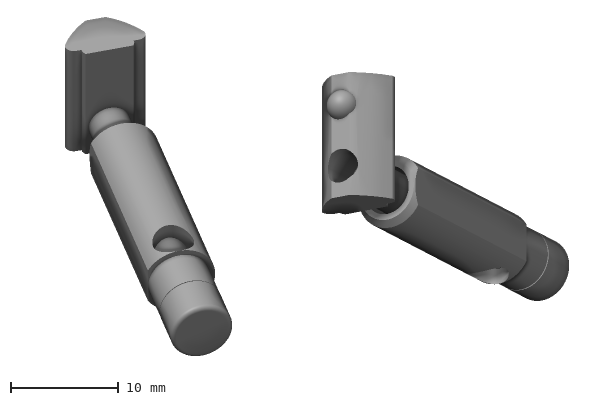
import cadquery as cq
import math

OVERALL_LENGTH = 37.38
HEAD_FRONT_X = 1.05
HEAD_REAR_X = 5.75
SLEEVE_FRONT_X = 9.42
SLEEVE_BODY_LENGTH = 19.95
TAIL_LENGTH = 3.9
SCREW_HEAD_GAP = 0.1
SLEEVE_SHOULDER_X = SLEEVE_FRONT_X + SLEEVE_BODY_LENGTH
TAIL_END_X = SLEEVE_SHOULDER_X + TAIL_LENGTH
SCREW_HEAD_X = TAIL_END_X + SCREW_HEAD_GAP

SHANK_DIAMETER = 4.0
SCREW_HEAD_DIAMETER = 5.95
SCREW_HEAD_FILLET = 0.45

SLEEVE_DIAMETER = 7.0
SLEEVE_FLAT_OFFSET = 3.0
SLEEVE_CHAMFER = 0.6
TAIL_DIAMETER = 5.9
MOUTH_DIAMETER = 4.67
MOUTH_DEPTH = 7.48
CROSS_HOLE_DIAMETER = 3.9
CROSS_HOLE_X = SLEEVE_SHOULDER_X - CROSS_HOLE_DIAMETER / 2

HEAD_HEIGHT = 12.0
HEAD_TOP_Z = 8.97
HEAD_HALF_WIDTH = 3.85
NOSE_HALF_WIDTH = 0.97
FLANK_MID = (2.45, 2.65)
LOBE_RADIUS = 0.82
LOBE_REAR_X = 5.1
LOBE_START_ANGLE = math.radians(105)
LOBE_MID_ANGLE = math.radians(50)
STEP_HALF_WIDTH = 2.5
STEP_EDGE_X = 5.35
STEP_BEVEL = 0.2
HEAD_HOLE_DIAMETER = 3.25
BALL_DIAMETER = 3.0
BALL_Z = HEAD_TOP_Z - HEAD_HEIGHT / 4


def x_cylinder(diameter, start_x, end_x):
    """Round bar along the X axis."""
    return (
        cq.Workplane("YZ", origin=(start_x, 0, 0))
        .circle(diameter / 2)
        .extrude(end_x - start_x)
    )


def head_outline():
    """Closed XY outline of the anchor head, symmetric about the X axis."""
    lobe_x = LOBE_REAR_X - LOBE_RADIUS
    lobe_y = HEAD_HALF_WIDTH - LOBE_RADIUS

    def lobe_point(angle):
        return (lobe_x + LOBE_RADIUS * math.cos(angle), lobe_y + LOBE_RADIUS * math.sin(angle))

    def mirrored(point):
        return (point[0], -point[1])

    nose = (HEAD_FRONT_X, NOSE_HALF_WIDTH)
    lobe_start = lobe_point(LOBE_START_ANGLE)
    lobe_mid = lobe_point(LOBE_MID_ANGLE)
    lobe_end = (LOBE_REAR_X, lobe_y)
    step_root = (LOBE_REAR_X, STEP_HALF_WIDTH)
    step_edge = (STEP_EDGE_X, STEP_HALF_WIDTH)
    rear = (HEAD_REAR_X, STEP_HALF_WIDTH - STEP_BEVEL)
    return (
        cq.Workplane("XY", origin=(0, 0, HEAD_TOP_Z - HEAD_HEIGHT))
        .moveTo(*nose)
        .threePointArc(FLANK_MID, lobe_start)
        .threePointArc(lobe_mid, lobe_end)
        .lineTo(*step_root)
        .lineTo(*step_edge)
        .lineTo(*rear)
        .lineTo(*mirrored(rear))
        .lineTo(*mirrored(step_edge))
        .lineTo(*mirrored(step_root))
        .lineTo(*mirrored(lobe_end))
        .threePointArc(mirrored(lobe_mid), mirrored(lobe_start))
        .threePointArc(mirrored(FLANK_MID), mirrored(nose))
        .close()
    )


def make_anchor_head():
    """Profiled block with a through hole on the X axis and a ball on its nose."""
    block = head_outline().extrude(HEAD_HEIGHT)
    hole = x_cylinder(HEAD_HOLE_DIAMETER, 0, HEAD_REAR_X)
    ball = cq.Workplane("XY", origin=(BALL_DIAMETER / 2, 0, BALL_Z)).sphere(BALL_DIAMETER / 2)
    return block.cut(hole).union(ball)


def make_sleeve():
    """Flatted sleeve that fits the shank, with a wider mouth and a vertical cross hole near its shoulder."""
    body = x_cylinder(SLEEVE_DIAMETER, SLEEVE_FRONT_X, SLEEVE_SHOULDER_X)
    body = body.faces("<X").chamfer(SLEEVE_CHAMFER)
    flat_cutter = (
        cq.Workplane("XY")
        .box(SLEEVE_BODY_LENGTH, SLEEVE_DIAMETER, SLEEVE_DIAMETER, centered=(False, False, True))
        .translate((SLEEVE_FRONT_X, -SLEEVE_FLAT_OFFSET - SLEEVE_DIAMETER, 0))
    )
    tail = x_cylinder(TAIL_DIAMETER, SLEEVE_SHOULDER_X, TAIL_END_X)
    bore = x_cylinder(SHANK_DIAMETER, SLEEVE_FRONT_X, TAIL_END_X)
    mouth = x_cylinder(MOUTH_DIAMETER, SLEEVE_FRONT_X, SLEEVE_FRONT_X + MOUTH_DEPTH)
    cross_hole = (
        cq.Workplane("XY", origin=(CROSS_HOLE_X, 0, 0))
        .circle(CROSS_HOLE_DIAMETER / 2)
        .extrude(SLEEVE_DIAMETER, both=True)
    )
    return body.cut(flat_cutter).union(tail).cut(bore).cut(mouth).cut(cross_hole)


def make_screw():
    """Plain shank from the anchor head to a cylindrical head behind the sleeve."""
    shank = x_cylinder(SHANK_DIAMETER, HEAD_REAR_X, SCREW_HEAD_X)
    screw_head = x_cylinder(SCREW_HEAD_DIAMETER, SCREW_HEAD_X, OVERALL_LENGTH)
    screw_head = screw_head.faces(">X").edges().fillet(SCREW_HEAD_FILLET)
    return shank.union(screw_head)


anchor_head = make_anchor_head()
sleeve = make_sleeve()
screw = make_screw()

result = cq.Compound.makeCompound([anchor_head.val(), sleeve.val(), screw.val()])